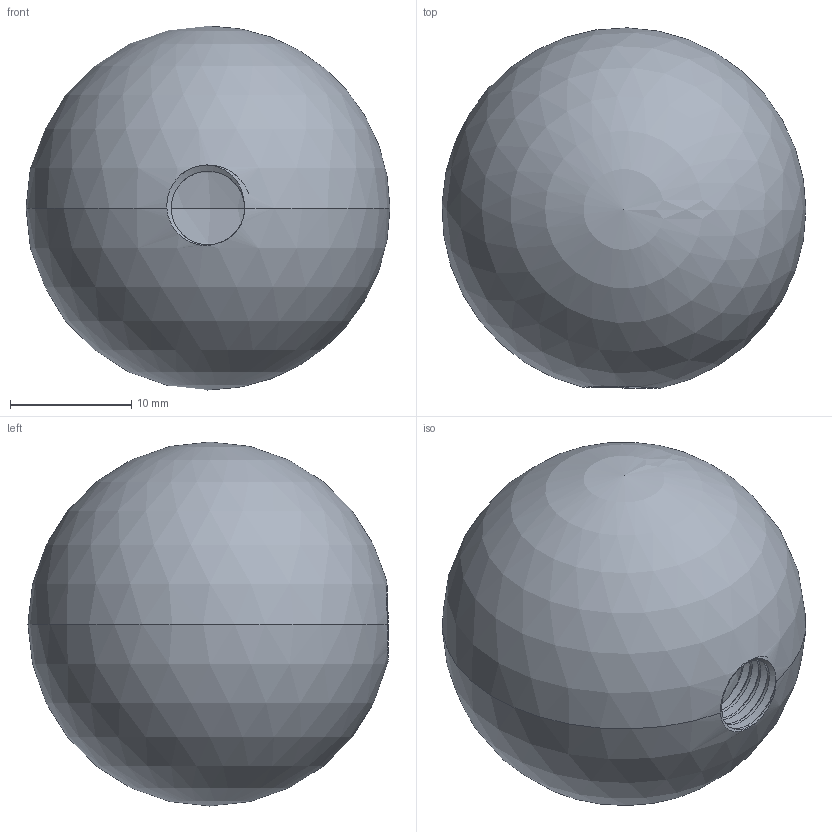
import cadquery as cq
import math

ball_radius = 15.0
wall_thickness = 2.0

thread_pitch = 1.0
bore_radius = 3.03
groove_depth = 0.52
groove_mouth_width = 0.75 * thread_pitch
groove_root_width = 0.125 * thread_pitch
groove_overlap = 0.2
thread_start_angle = 100.0
thread_overrun = thread_pitch

sleeve_radius = 5.0
sleeve_end_depth = 4.25

bore_seam_angle = 90.0

cavity_radius = ball_radius - wall_thickness
pole_y = -ball_radius
sleeve_end_y = pole_y + sleeve_end_depth


def make_split_ball(radius):
    """Solid ball of two hemispheres, keeping the joint edge around the equator at Z = 0."""
    mid = radius * math.sqrt(0.5)
    upper_half = (
        cq.Workplane("XZ")
        .lineTo(radius, 0)
        .threePointArc((mid, mid), (0, radius))
        .close()
        .revolve(360, (0, 0, 0), (0, 1, 0))
    )
    return upper_half.union(upper_half.mirror("XY"), clean=False)


def make_hole_cylinder(radius, inner_end_y):
    """Cylinder along Y from the -Y pole of the ball to inner_end_y."""
    return (
        cq.Workplane("XZ", origin=(0, inner_end_y, 0))
        .circle(radius)
        .extrude(inner_end_y - pole_y)
        .rotate((0, 0, 0), (0, 1, 0), bore_seam_angle)
    )


def make_cavity():
    """Concentric spherical cavity, leaving the sleeve standing inside it."""
    sleeve = make_hole_cylinder(sleeve_radius, sleeve_end_y)
    return make_split_ball(cavity_radius).cut(sleeve, clean=False)


def make_thread_cutter():
    """Trapezoidal groove swept along a right-hand helix, then laid along +Y."""
    path = cq.Wire.makeHelix(thread_pitch, sleeve_end_depth + 2 * thread_overrun, bore_radius)
    flank_slope = (groove_mouth_width - groove_root_width) / 2 / groove_depth
    half_root = groove_root_width / 2
    half_inner = groove_mouth_width / 2 + flank_slope * groove_overlap
    inner_radius = bore_radius - groove_overlap
    root_radius = bore_radius + groove_depth
    cutter = (
        cq.Workplane("XZ")
        .polyline(
            [
                (inner_radius, -half_inner),
                (root_radius, -half_root),
                (root_radius, half_root),
                (inner_radius, half_inner),
            ]
        )
        .close()
        .sweep(path, isFrenet=True)
    )
    return (
        cutter.rotate((0, 0, 0), (0, 0, 1), thread_start_angle)
        .rotate((0, 0, 0), (1, 0, 0), -90)
        .translate((0, pole_y - thread_overrun, 0))
    )


hollow_ball = make_split_ball(ball_radius).cut(make_cavity(), clean=False)
bored_ball = hollow_ball.cut(make_hole_cylinder(bore_radius, sleeve_end_y), clean=False)
result = bored_ball.cut(make_thread_cutter(), clean=False)